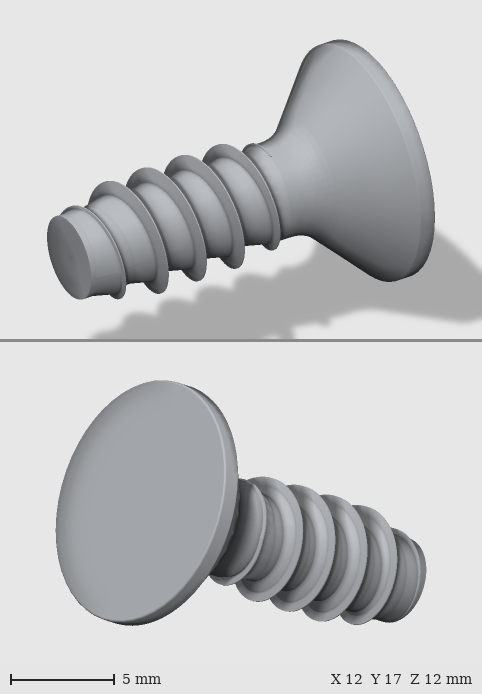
import cadquery as cq
import math


screw_length = 17.0
head_radius = 6.0
head_rim_depth = 0.85
head_edge_fillet = 0.1
cone_angle = math.radians(45)
neck_radius = 2.4
neck_fillet = 2.3
neck_end_depth = 6.0

core_radius = 2.11
core_start_depth = 6.94
tip_recess_radius = 1.95
tip_recess_depth = 0.1

pitch = 2.13
crest_radius = 3.02
crest_width = 0.06
knee_radius = 2.59
knee_setback = 0.08
head_flank_reach = 0.51
tip_flank_reach = 0.38
root_radius = 2.0
buried_radius = 1.0
first_crest_depth = 5.80
lead_depth = 5.95
full_turns = 2.75
run_in_sink = 0.45
run_in_lead = 0.28
full_start = 1.0
run_out_turns = 1.5
run_out_sink = 0.92
full_end = full_start + full_turns
thread_end = full_end + run_out_turns

taper_radius = 2.40
taper_reach = 1.85
taper_buried_radius = 1.3
taper_run_in_turns = 0.25
taper_run_in_sink = 0.04
taper_run_out_turns = 0.75
taper_run_out_sink = 0.40

points_per_turn = 24
min_steps = 4


def head_and_core():
    """Revolved body: head, neck fillet, neck and core."""
    fillet_top = neck_radius + neck_fillet * (1 - math.cos(cone_angle))
    cone_end_depth = head_rim_depth + (head_radius - fillet_top) / math.tan(cone_angle)
    fillet_end_depth = cone_end_depth + neck_fillet * math.sin(cone_angle)
    half_angle = cone_angle / 2
    fillet_middle = (
        neck_radius + neck_fillet * (1 - math.cos(half_angle)),
        -(fillet_end_depth - neck_fillet * math.sin(half_angle)),
    )
    body = (
        cq.Workplane("XY")
        .moveTo(0, 0)
        .lineTo(head_radius, 0)
        .lineTo(head_radius, -head_rim_depth)
        .lineTo(fillet_top, -cone_end_depth)
        .threePointArc(fillet_middle, (neck_radius, -fillet_end_depth))
        .lineTo(neck_radius, -neck_end_depth)
        .lineTo(core_radius, -core_start_depth)
        .lineTo(core_radius, -screw_length)
        .lineTo(0, -screw_length)
        .close()
        .revolve(360, (0, 0, 0), (0, 1, 0))
    )
    rim_edges = cq.selectors.RadiusNthSelector(-1)
    return body.edges(rim_edges).fillet(head_edge_fillet)


def on_screw(turns, radius, depth):
    """Point at an angle counted in turns from the -X side toward -Z."""
    angle = 2 * math.pi * turns
    return cq.Vector(-radius * math.cos(angle), -depth, -radius * math.sin(angle))


def helical_ridge(profile, stations):
    """Solid swept around the axis.

    profile holds corners as (axial offset, radius, share of the sink taken).
    stations hold (turns, depth, sink), where sink lowers the corner radii;
    everything varies linearly between stations.
    """
    def corner(index, turns, depth, sink):
        offset, radius, sink_share = profile[index]
        return on_screw(turns, radius - sink * sink_share, depth + offset)

    def trace(index, start, end):
        steps = max(min_steps, math.ceil((end[0] - start[0]) * points_per_turn))
        points = []
        for step in range(steps + 1):
            share = step / steps
            place = [a + (b - a) * share for a, b in zip(start, end)]
            points.append(corner(index, *place))
        return cq.Edge.makeSpline(points)

    def end_cap(station):
        corners = [corner(index, *station) for index in range(len(profile))]
        return cq.Face.makeFromWires(cq.Wire.makePolygon(corners, close=True))

    faces = [end_cap(stations[0]), end_cap(stations[-1])]
    for start, end in zip(stations, stations[1:]):
        traces = [trace(index, start, end) for index in range(len(profile))]
        for first, second in zip(traces, traces[1:] + traces[:1]):
            faces.append(cq.Face.makeRuledSurface(first, second))
    ridge = cq.Solid.makeSolid(cq.Shell.makeShell(faces))
    if ridge.Volume() < 0:
        ridge = cq.Solid(ridge.wrapped.Reversed())
    return cq.Workplane(ridge.fix())


def crest_depth(turns):
    """Depth of the crest once it climbs at the full pitch."""
    return first_crest_depth + pitch * turns


def thread():
    """Thread ridge: level lead, rise, full height, then fade into the core."""
    profile = [
        (-head_flank_reach, buried_radius, 0),
        (-head_flank_reach, root_radius, 1),
        (-knee_setback, knee_radius, 1),
        (-crest_width / 2, crest_radius, 1),
        (crest_width / 2, crest_radius, 1),
        (tip_flank_reach, root_radius, 1),
        (tip_flank_reach, buried_radius, 0),
    ]
    level_end = (lead_depth - first_crest_depth) / pitch
    stations = [
        (-run_in_lead, lead_depth, run_in_sink * (full_start + run_in_lead)),
        (level_end, lead_depth, run_in_sink * (full_start - level_end)),
        (full_start, crest_depth(full_start), 0),
        (full_end, crest_depth(full_end), 0),
        (thread_end, crest_depth(thread_end), run_out_sink),
    ]
    return helical_ridge(profile, stations)


def core_taper():
    """Saw-tooth thickening of the core on the tip side of the thread."""
    profile = [
        (0, taper_buried_radius, 0),
        (0, taper_radius, 1),
        (taper_reach, root_radius, 1),
        (taper_reach, taper_buried_radius, 0),
    ]
    run_out_start = thread_end - taper_run_out_turns
    stations = [
        (0, crest_depth(0), taper_run_in_sink),
        (taper_run_in_turns, crest_depth(taper_run_in_turns), 0),
        (run_out_start, crest_depth(run_out_start), 0),
        (thread_end, crest_depth(thread_end), taper_run_out_sink),
    ]
    return helical_ridge(profile, stations)


def envelope():
    """Cylinder over the whole screw length, trims the ridges at the tip."""
    return cq.Workplane("XZ").circle(head_radius).extrude(screw_length)


def tip_recess():
    """Shallow cone sunk into the tip face."""
    return (
        cq.Workplane("XY")
        .moveTo(0, -screw_length)
        .lineTo(tip_recess_radius, -screw_length)
        .lineTo(0, -(screw_length - tip_recess_depth))
        .close()
        .revolve(360, (0, 0, 0), (0, 1, 0))
    )


result = head_and_core()
for ridge in (core_taper(), thread()):
    result = result.union(ridge.intersect(envelope()))
result = result.cut(tip_recess()).solids()